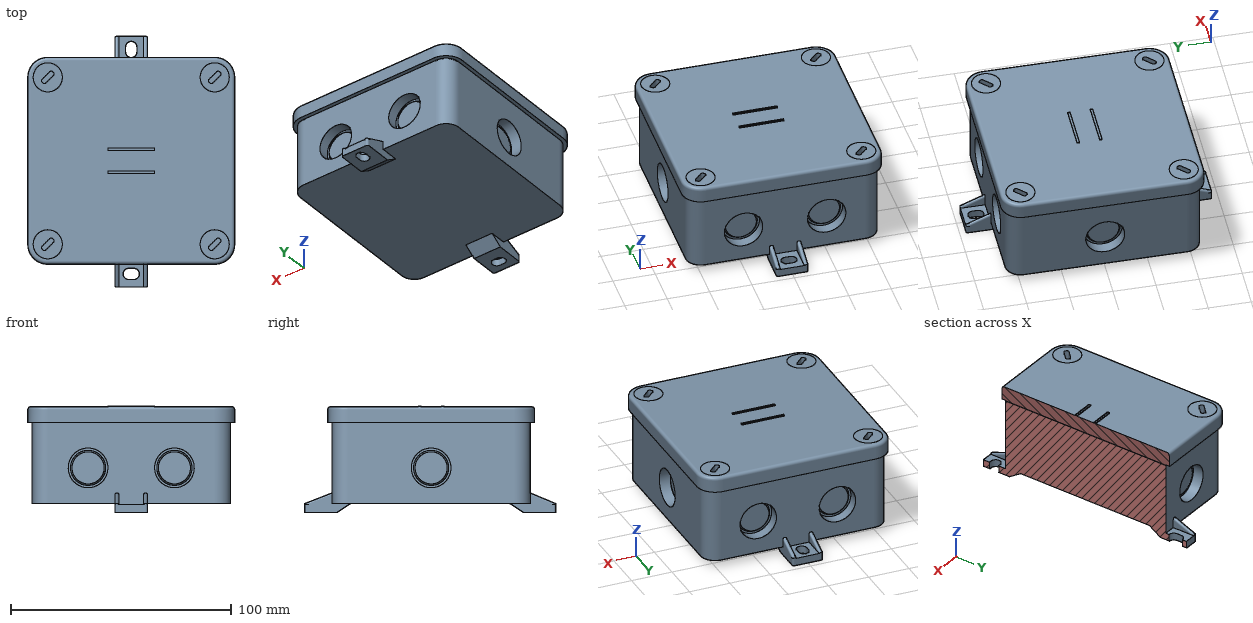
import cadquery as cq

foot_drop = 4.1
lid_bottom = 40.8
lid_top = 48.1

lid_side = 94.0
lid_corner_radius = 9.1
lid_edge_radius = 1.5
lid_overhang = 1.9
housing_side = lid_side - 2 * lid_overhang
housing_corner_radius = lid_corner_radius - lid_overhang
wall_y = housing_side / 2

entry_height = 20.3
entry_spacing = 39.2
entry_radius = 9.0
entry_depth = 5.5
plug_base_radius = 8.0
plug_top_radius = 7.3
plug_height = 0.8

total_length = 114.0
rear_overhang = 9.6
rear_foot_end = lid_side / 2 + rear_overhang
front_foot_end = total_length - rear_foot_end
foot_width = 14.9
foot_thickness = 3.8
foot_flat_length = 14.7
foot_ramp_length = 6.2
foot_corner_radius = 0.9
rib_width = 1.9
rib_end_height = 4.1
rib_wall_height = 8.9
rib_edge_radius = 0.9
foot_slot_inset = 6.0
foot_slot_length = 7.3
foot_slot_width = 5.0

screw_radius = 6.6
screw_place = lid_side / 2 - lid_corner_radius
screw_slot_length = 6.7
screw_slot_width = 2.4
screw_slot_corner_radius = 0.9
screw_slot_depth = 5.7
screw_slot_angle = 45

bar_length = 21.0
bar_width = 1.1
bar_spacing = 10.5
bar_top = 48.5


def rounded_block(side, corner_radius, bottom, top):
    """Square block with rounded upright corners, standing on Z = bottom."""
    block = cq.Workplane("XY").workplane(offset=bottom).rect(side, side).extrude(top - bottom)
    return block.edges("|Z").fillet(corner_radius)


def make_entry(offset, turn):
    """Knockout recess in the -Y wall, with a tapered plug left on its floor, turned about Z."""
    centre = cq.Vector(offset, -wall_y, entry_height)
    floor = centre + cq.Vector(0, entry_depth, 0)
    inward = cq.Vector(0, 1, 0)
    recess = cq.Solid.makeCylinder(entry_radius, entry_depth, centre, inward)
    plug = cq.Solid.makeCone(plug_base_radius, plug_top_radius, plug_height, floor, inward * -1)
    return cq.Workplane(recess.cut(plug)).rotate((0, 0, 0), (0, 0, 1), turn)


def side_profile(points, width):
    """Closed (y, z) outline extruded along X, centred on X = 0."""
    return cq.Workplane("YZ").polyline(points).close().extrude(width / 2, both=True)


def make_foot(end, slot_turn):
    """Foot at the -Y wall reaching out to Y = -end, with two ribs and a screw slot."""
    flat_end = -end + foot_flat_length
    ramp_end = flat_end + foot_ramp_length
    plate = side_profile(
        [
            (-end, 0),
            (flat_end, 0),
            (ramp_end, foot_drop),
            (-wall_y, foot_drop),
            (-wall_y, foot_thickness),
            (-end, foot_thickness),
        ],
        foot_width,
    )
    rib = side_profile(
        [
            (-end, 0),
            (-wall_y, 0),
            (-wall_y, rib_wall_height),
            (-end, rib_end_height),
        ],
        rib_width,
    )
    rib = rib.faces(">Z").edges("not(|X)").fillet(rib_edge_radius)
    rib_place = (foot_width - rib_width) / 2
    foot = plate
    for side in (-1, 1):
        foot = foot.union(rib.translate((side * rib_place, 0, 0)))
    outline = (
        cq.Workplane("XY")
        .rect(foot_width, 2 * end)
        .extrude(rib_wall_height)
        .edges("|Z")
        .fillet(foot_corner_radius)
    )
    slot = (
        cq.Workplane("XY")
        .center(0, -end + foot_slot_inset)
        .slot2D(foot_slot_length, foot_slot_width, slot_turn)
        .extrude(foot_thickness)
    )
    return foot.intersect(outline).cut(slot)


def make_housing():
    housing = rounded_block(housing_side, housing_corner_radius, foot_drop, lid_bottom)
    front_foot = make_foot(front_foot_end, 0)
    rear_foot = make_foot(rear_foot_end, 90).rotate((0, 0, 0), (0, 0, 1), 180)
    housing = housing.union(front_foot).union(rear_foot)
    for turn in (0, 180):
        for offset in (-entry_spacing / 2, entry_spacing / 2):
            housing = housing.cut(make_entry(offset, turn))
    for turn in (90, 270):
        housing = housing.cut(make_entry(0, turn))
    return housing


def screw_blank(x, y):
    """Round screw body through the full thickness of the lid."""
    lid_thickness = lid_top - lid_bottom
    return cq.Workplane("XY").circle(screw_radius).extrude(lid_thickness).translate((x, y, lid_bottom))


def make_lid(places):
    lid = rounded_block(lid_side, lid_corner_radius, lid_bottom, lid_top)
    lid = lid.faces(">Z").edges().fillet(lid_edge_radius)
    for x, y in places:
        lid = lid.cut(screw_blank(x, y))
    bars = (
        cq.Workplane("XY")
        .workplane(offset=lid_top)
        .pushPoints([(0, -bar_spacing / 2), (0, bar_spacing / 2)])
        .rect(bar_length, bar_width)
        .extrude(bar_top - lid_top)
    )
    return lid.union(bars)


def make_screw(x, y):
    """Screw flush with the lid, with a round-cornered driver slot across its head."""
    slot = (
        cq.Workplane("XY")
        .rect(screw_slot_length, screw_slot_width)
        .extrude(screw_slot_depth)
        .edges("|Z")
        .fillet(screw_slot_corner_radius)
        .rotate((0, 0, 0), (0, 0, 1), screw_slot_angle)
        .translate((x, y, lid_top - screw_slot_depth))
    )
    return screw_blank(x, y).cut(slot)


screw_places = [(sx * screw_place, sy * screw_place) for sx in (-1, 1) for sy in (-1, 1)]

housing = make_housing()
lid = make_lid(screw_places)
screws = [make_screw(x, y) for x, y in screw_places]

result = cq.Compound.makeCompound([housing.val(), lid.val(), *[screw.val() for screw in screws]])